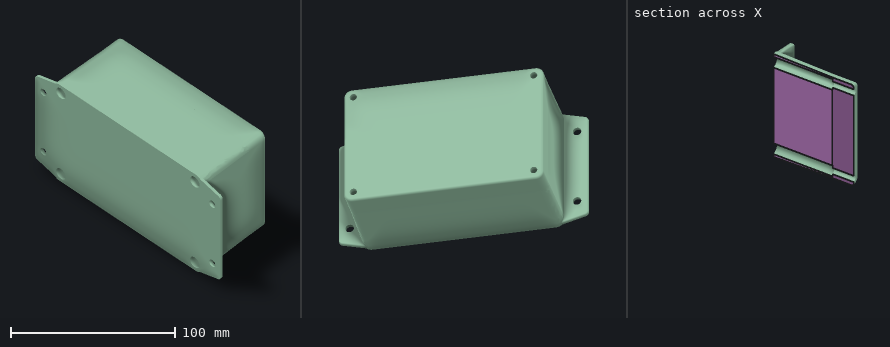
import cadquery as cq
import math


flange_length = 156.0
total_depth = 57.0

base_depth = 41.8
base_length = 125.7
base_height = 81.3
base_corner_radius = 5.6

lid_length = 124.5
lid_height = 79.5
lid_corner_radius = 5.0
lid_edge_radius = 1.9
lid_depth = total_depth - base_depth

ear_thickness = 2.5
ear_end_height = 69.3
ear_slope_angle = 15.0
ear_corner_radius = 3.0
ear_edge_radius = 1.1
ear_root_x = base_length / 2 - base_corner_radius

mount_hole_diameter = 5.3
mount_spacing_x = 142.0
mount_spacing_z = 49.9
screw_bore_diameter = 8.1
screw_hole_diameter = 4.5
screw_spacing_x = 112.6
screw_spacing_z = 68.0


def plane_at(depth):
    """Plane across the enclosure at a given Y, with its normal along +Y."""
    return cq.Workplane("XZ", origin=(0, depth, 0)).transformed(rotate=(180, 0, 0))


def hole_pattern(spacing_x, spacing_z, diameter, start, length):
    """Four parallel cylinders along +Y at the corners of a rectangle."""
    return (
        plane_at(start)
        .rect(spacing_x, spacing_z, forConstruction=True)
        .vertices()
        .circle(diameter / 2)
        .extrude(length)
    )


def rounded_outline(length, height, corner_radius):
    """Rectangle in X and Z with rounded corners."""
    return cq.Sketch().rect(length, height).vertices().fillet(corner_radius)


def make_ears():
    """Plate with sloped ends that forms both mounting ears."""
    end_x = flange_length / 2
    end_z = ear_end_height / 2
    root_z = end_z + (end_x - ear_root_x) * math.tan(math.radians(ear_slope_angle))
    outline = [
        (end_x, end_z),
        (ear_root_x, root_z),
        (-ear_root_x, root_z),
        (-end_x, end_z),
        (-end_x, -end_z),
        (-ear_root_x, -root_z),
        (ear_root_x, -root_z),
        (end_x, -end_z),
    ]
    plate = plane_at(0).polyline(outline).close().extrude(ear_thickness)
    plate = plate.edges("|Y").edges("<X or >X").fillet(ear_corner_radius)
    return plate.faces(">Y").edges().fillet(ear_edge_radius)


def make_base():
    """Drafted base with mounting ears, mounting holes and screw bores."""
    mounting_outline = rounded_outline(base_length, base_height, base_corner_radius)
    parting_outline = rounded_outline(lid_length, lid_height, lid_corner_radius)
    parting_shift = cq.Location(cq.Vector(0, 0, base_depth))
    block = (
        plane_at(0)
        .placeSketch(mounting_outline, parting_outline.moved(parting_shift))
        .loft()
    )
    block = block.union(make_ears())
    mount_holes = hole_pattern(mount_spacing_x, mount_spacing_z, mount_hole_diameter, 0, ear_thickness)
    screw_bores = hole_pattern(screw_spacing_x, screw_spacing_z, screw_bore_diameter, 0, base_depth)
    return block.cut(mount_holes).cut(screw_bores)


def make_lid():
    """Lid with a rounded outer edge and four screw holes."""
    outline = rounded_outline(lid_length, lid_height, lid_corner_radius)
    block = plane_at(base_depth).placeSketch(outline).extrude(lid_depth)
    block = block.faces(">Y").edges().fillet(lid_edge_radius)
    screw_holes = hole_pattern(
        screw_spacing_x, screw_spacing_z, screw_hole_diameter, base_depth, lid_depth
    )
    return block.cut(screw_holes)


base = make_base()
lid = make_lid()

result = cq.Compound.makeCompound([base.val(), lid.val()])